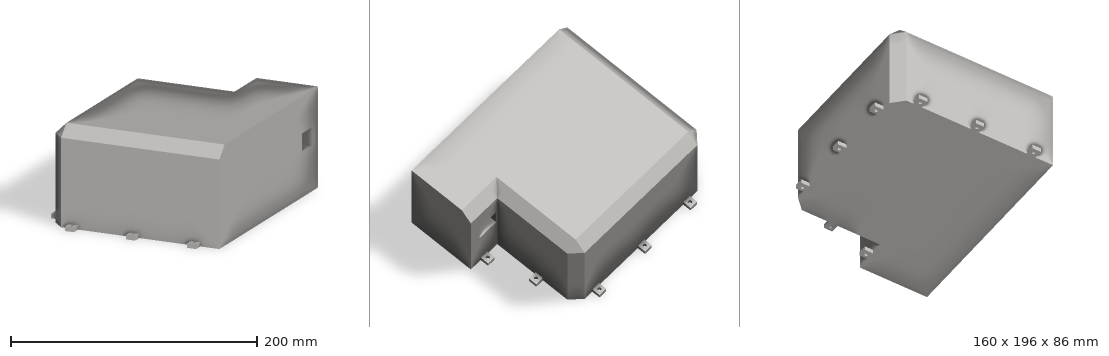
import cadquery as cq

tab_size = 8.0
tab_height = 4.0
tab_hole_diameter = 3.3
tab_spacing = 54.9

body_width = 160.0 - tab_size
body_depth = 196 - tab_size
body_height = 86.0
bevel = 10.0

neck_width = 65.0
neck_depth = 32.0

window_width = 20.0
window_height = 16.0
window_bottom = 38.5
window_back_margin = 10.5

step_tab_offset = 40.8

left = -body_width
neck_left = -neck_width
step_y = body_depth - neck_depth


def make_body():
    """L-shaped housing with bevels along its walled top edges and its two left corners."""
    outline = [
        (0, 0),
        (left, 0),
        (left, step_y),
        (neck_left, step_y),
        (neck_left, body_depth),
        (0, body_depth),
    ]
    prism = cq.Workplane("XY").polyline(outline).close().extrude(body_height)
    bevel_edges = prism.edges(
        cq.selectors.BoxSelector(
            (left - bevel, -bevel, body_height - bevel),
            (-bevel, body_depth - bevel, body_height + bevel),
        )
    ).edges("|X or |Y")
    corner_edges = prism.edges("|Z and <X")
    return bevel_edges.add(corner_edges).chamfer(bevel)


def cut_window(body):
    """Cut the rectangular window straight through the neck along X."""
    window = (
        cq.Workplane("XY")
        .box(neck_width, window_width, window_height, centered=False)
        .translate((neck_left, body_depth - window_back_margin - window_width, window_bottom))
    )
    return body.cut(window)


def make_tab(x, y, angle):
    """Screw tab at a wall point, pointing outward along the given angle from +X."""
    tab = (
        cq.Workplane("XY")
        .box(tab_size, tab_size, tab_height, centered=(False, True, False))
        .faces(">Z")
        .workplane(centerOption="CenterOfBoundBox")
        .hole(tab_hole_diameter)
    )
    return tab.rotate((0, 0, 0), (0, 0, 1), angle).translate((x, y, 0))


def add_tabs(body):
    """Add three tabs each to the front and left walls and one to each wall of the step."""
    for offset in (-tab_spacing, 0, tab_spacing):
        body = body.union(make_tab(left / 2 + offset, 0, -90))
        body = body.union(make_tab(left, step_y / 2 + offset, 180))
    body = body.union(make_tab(left + step_tab_offset, step_y, 90))
    return body.union(make_tab(neck_left, step_y + neck_depth / 2, 180))


result = add_tabs(cut_window(make_body()))